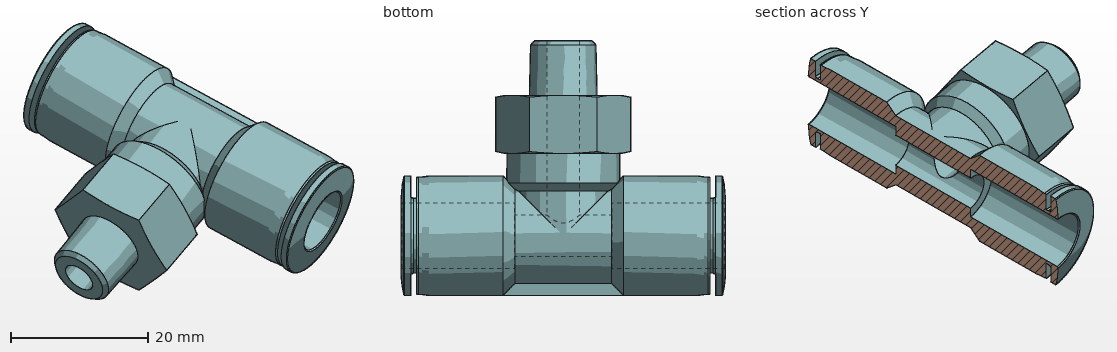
import cadquery as cq
import math

run_length = 47.4
half_run = run_length / 2
body_diameter = 17.5
body_radius = body_diameter / 2
overall_depth = 37.2
branch_length = overall_depth - body_radius

ring_diameter = 17.5
ring_face_diameter = 17.2
ring_crown = 0.45
ring_edge = 0.15
ring_thickness = 1.45
tube_diameter = 9.53
tube_lead_in = 0.2
tube_depth = 16.6
collar_diameter = 10.95
collar_flare_length = 0.4
collar_flare_height = 0.2

cap_start = 2.27
cap_end = 3.15
cap_diameter = 17.2
cap_chamfer_length = 0.3
cap_chamfer_height = 0.1
taper_end = 4.15
body_end = 14.95
neck_diameter = 14.07
neck_radius = neck_diameter / 2
run_bore_diameter = 6.0

web_thickness = 2.0

branch_diameter = 16.5
branch_radius = branch_diameter / 2
shoulder_start = 6.5
shoulder_end = shoulder_start + branch_radius - neck_radius
hex_start = 12.0
hex_end = 20.45
hex_flats = 17.05
hex_corners = hex_flats / math.cos(math.radians(30))
hex_chamfer_length = 0.3
stud_base_diameter = 9.9
stud_tip_diameter = 9.55
stud_chamfer = 0.6
stud_bore_diameter = 4.8


def revolve_about_x(profile):
    return profile.close().revolve(360, (0, 0, 0), (1, 0, 0))


def branch_cylinder(diameter, length):
    """Cylinder from the origin along -Y."""
    return cq.Workplane("XZ").circle(diameter / 2).extrude(length)


def make_run_end():
    """Left half of the run, with ring, collar, body and neck."""
    left = -half_run
    ring_back = left + ring_thickness
    lip_radius = tube_diameter / 2 + tube_lead_in
    face_radius = ring_face_diameter / 2
    ring_radius = ring_diameter / 2
    collar_radius = collar_diameter / 2
    cap_radius = cap_diameter / 2
    crown_mid_radius = (lip_radius + face_radius) / 2
    profile = (
        cq.Workplane("XY")
        .moveTo(left, 0)
        .lineTo(left, lip_radius)
        .threePointArc((left + ring_crown / 4, crown_mid_radius), (left + ring_crown, face_radius))
        .lineTo(left + ring_crown + ring_edge, ring_radius)
        .lineTo(ring_back, ring_radius)
        .lineTo(ring_back, collar_radius + collar_flare_height)
        .lineTo(ring_back + collar_flare_length, collar_radius)
        .lineTo(left + cap_start, collar_radius)
        .lineTo(left + cap_start, cap_radius - cap_chamfer_height)
        .lineTo(left + cap_start + cap_chamfer_length, cap_radius)
        .lineTo(left + cap_end, cap_radius)
        .lineTo(left + taper_end, body_radius)
        .lineTo(left + body_end, body_radius)
        .lineTo(left + body_end + body_radius - neck_radius, neck_radius)
        .lineTo(0, neck_radius)
        .lineTo(0, 0)
    )
    return revolve_about_x(profile)


def make_tube_socket():
    """Tube hole in the left end, with a chamfered mouth."""
    left = -half_run
    radius = tube_diameter / 2
    profile = (
        cq.Workplane("XY")
        .moveTo(left, 0)
        .lineTo(left, radius + tube_lead_in)
        .lineTo(left + tube_lead_in, radius)
        .lineTo(left + tube_depth, radius)
        .lineTo(left + tube_depth, 0)
    )
    return revolve_about_x(profile)


def make_web():
    """Flat web between the two bodies, flush with their +Y side."""
    length = run_length - 2 * body_end
    return cq.Workplane("XY").box(length, body_radius, web_thickness, centered=(True, False, True))


def make_branch_body():
    """Neck as wide as the run neck, widening to the branch cylinder."""
    profile = (
        cq.Workplane("XY")
        .lineTo(neck_radius, 0)
        .lineTo(neck_radius, -shoulder_start)
        .lineTo(branch_radius, -shoulder_end)
        .lineTo(branch_radius, -hex_start)
        .lineTo(0, -hex_start)
    )
    return profile.close().revolve(360, (0, 0, 0), (0, 1, 0))


def make_hex():
    """Hexagon with corners on +X and -X, its corners turned down at both ends."""
    length = hex_end - hex_start
    plane = cq.Workplane("XZ", origin=(0, -hex_start, 0))
    prism = plane.polygon(6, hex_corners).extrude(length)
    corner_relief = (hex_corners - hex_flats) / 2
    envelope = (
        plane.circle(hex_corners / 2)
        .extrude(length)
        .edges()
        .chamfer(hex_chamfer_length, corner_relief)
    )
    return prism.intersect(envelope)


def make_stud():
    """Tapered stud with a chamfered tip."""
    base_radius = stud_base_diameter / 2
    tip_radius = stud_tip_diameter / 2
    profile = (
        cq.Workplane("XY")
        .moveTo(0, -hex_end)
        .lineTo(base_radius, -hex_end)
        .lineTo(tip_radius, -branch_length + stud_chamfer)
        .lineTo(tip_radius - stud_chamfer, -branch_length)
        .lineTo(0, -branch_length)
    )
    return profile.close().revolve(360, (0, 0, 0), (0, 1, 0))


run_end = make_run_end()
tube_socket = make_tube_socket()
run_bore = (
    cq.Workplane("YZ", origin=(-half_run, 0, 0))
    .circle(run_bore_diameter / 2)
    .extrude(run_length)
)

result = (
    run_end.union(run_end.mirror("YZ"))
    .union(make_web())
    .union(make_branch_body())
    .union(make_hex())
    .union(make_stud())
    .cut(tube_socket)
    .cut(tube_socket.mirror("YZ"))
    .cut(run_bore)
    .cut(branch_cylinder(stud_bore_diameter, branch_length))
)